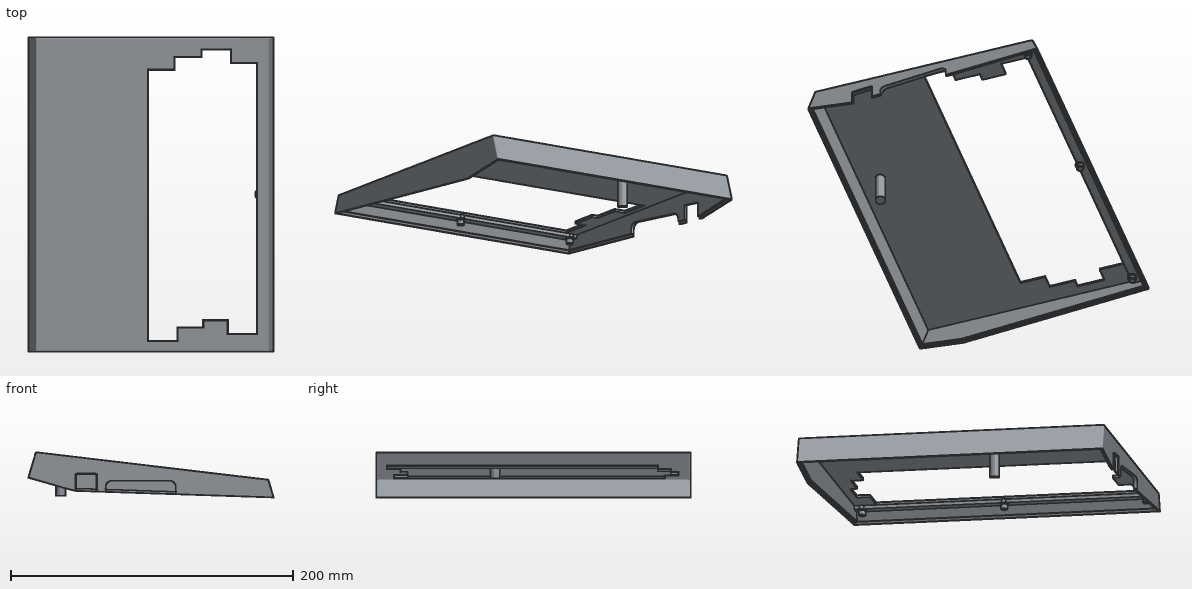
import cadquery as cq
length = 174.0
width = 223.0
height = 32.1
back_foot_z = 14.0
back_top_x = 5.4
front_top_x = 170.1
front_top_z = 12.7
knee_x = 33.0
knee_z = 4.7
edge_radius = 1.0
peak_loss = 0.1

wall = 2.7
plate = 2.0
lip_wall = 1.3
rebate_height = 1.8
rib_x = 162.3
rib_height = 2.5

opening_back_x = 85.2
opening_front_x = 162.0
opening_outline = [
    (opening_back_x, 88.0),
    (104.0, 88.0),
    (104.0, 97.2),
    (123.0, 97.2),
    (123.0, 102.4),
    (143.5, 102.4),
    (143.5, 92.8),
    (opening_front_x, 92.8),
    (opening_front_x, -98.5),
    (141.5, -98.5),
    (141.5, -89.0),
    (123.8, -89.0),
    (123.8, -94.0),
    (105.5, -94.0),
    (105.5, -103.7),
    (opening_back_x, -103.7),
]
opening_chamfer = 0.5

socket_cutout = (34.0, 48.2, 16.5, 1.1)
socket_chamfer = 0.7
finger_cutout = (54.9, 104.5, 12.0, 4.7)

post_diameter = 7.0
post_x = 23.0
post_y = -27.2
post_foot_z = 1.1
pin_diameter = 5.0
flare_diameter = 7.0
pin_x = 164.1
pin_ys = (-103.7, 0, 103.7)
pin_foot_z = 4.5
flare_height = 1.0
pin_tip = 0.7

peak_z = height + peak_loss
back_lean = back_top_x / (peak_z - back_foot_z)
front_lean = (length - front_top_x) / front_top_z
top_slope = (front_top_z - peak_z) / (front_top_x - back_top_x)


def top_z(x):
    """Height of the sloping top at x."""
    return peak_z + top_slope * (x - back_top_x)


def prism(points, depth):
    """Side profile (x, z) extruded to a depth in Y, centred on Y = 0."""
    return cq.Workplane("XZ").polyline(points).close().extrude(depth / 2, both=True)


def wedge(inset, drop):
    """Wedge with its back, front and side walls moved in and its top moved down."""
    top_at_zero = top_z(0) - drop
    back_x = (inset + back_lean * (top_at_zero - back_foot_z)) / (1 - back_lean * top_slope)
    front_x = (length - inset - front_lean * top_at_zero) / (1 + front_lean * top_slope)
    profile = [
        (inset, back_foot_z),
        (back_x, top_z(back_x) - drop),
        (front_x, top_z(front_x) - drop),
        (length - inset, 0),
        (length - inset, -height),
        (inset, -height),
    ]
    return prism(profile, width - 2 * inset)


def underside(rise):
    """Everything below the bottom rim, raised by a distance."""
    profile = [
        (-length, back_foot_z + rise + (back_foot_z - knee_z) / knee_x * length),
        (knee_x, knee_z + rise),
        (2 * length, rise - knee_z / (length - knee_x) * length),
        (2 * length, -2 * height),
        (-length, -2 * height),
    ]
    return prism(profile, 2 * width)


def hanging_pin(x, y, diameter, foot_z):
    """Round pin from a foot height up into the middle of the top."""
    pin_height = top_z(x) - plate / 2 - foot_z
    return cq.Workplane("XY", origin=(x, y, foot_z)).circle(diameter / 2).extrude(pin_height)


def wall_cutout(start_x, end_x, top, radius):
    """Cutter through the -Y wall with rounded top corners, open at the bottom."""
    cutter = cq.Workplane("XZ", origin=(0, -width / 2 + 2 * wall, 0))
    cutter = cutter.moveTo(start_x, -height).lineTo(end_x, -height).lineTo(end_x, top)
    cutter = cutter.lineTo(start_x, top).close().extrude(4 * wall)
    return cutter.edges("|Y and >Z").fillet(radius)


def flared_pin(x, y):
    """Pin with a chamfered tip and a conical flare where it leaves the rib."""
    pin = hanging_pin(x, y, pin_diameter, pin_foot_z).faces("<Z").edges().chamfer(pin_tip)
    flare_top = top_z(rib_x) - plate - rib_height
    flare = cq.Workplane("XY", origin=(x, y, flare_top)).circle(flare_diameter / 2)
    flare = flare.workplane(offset=-flare_height).circle(pin_diameter / 2).loft()
    return pin.union(flare)


top_face = cq.selectors.DirectionSelector(cq.Vector(-top_slope, 0, 1))

body = wedge(0, 0).cut(underside(0))
body = body.faces("<X or >X").edges("not(|Y)").fillet(edge_radius)
body = body.faces(top_face).edges().fillet(edge_radius)

body = body.cut(cq.Workplane("XY").polyline(opening_outline).close().extrude(height))
opening_zone = cq.selectors.BoxSelector(
    (opening_back_x - wall, wall - width / 2, 0),
    (opening_front_x + wall, width / 2 - wall, height),
)
body = body.faces(top_face).edges(opening_zone).chamfer(opening_chamfer)

body = body.cut(wall_cutout(*socket_cutout))
socket_start_x, socket_end_x, socket_top = socket_cutout[:3]
socket_zone = cq.selectors.BoxSelector(
    (socket_start_x - wall / 2, -width, knee_z + wall / 2),
    (socket_end_x + wall / 2, width, socket_top + wall / 2),
)
body = body.faces("<Y").edges(socket_zone).chamfer(socket_chamfer)
body = body.cut(wall_cutout(*finger_cutout))

body = body.cut(wedge(wall, plate))
body = body.cut(wedge(lip_wall, plate).intersect(underside(rebate_height)))

rib = wedge(wall / 2, plate / 2).cut(wedge(0, plate + rib_height))
rib = rib.intersect(cq.Workplane("XY", origin=(rib_x + length / 2, 0, 0)).box(length, width, 2 * height))
body = body.union(rib)

body = body.union(hanging_pin(post_x, post_y, post_diameter, post_foot_z))
for pin_y in pin_ys:
    body = body.union(flared_pin(pin_x, pin_y))

result = body